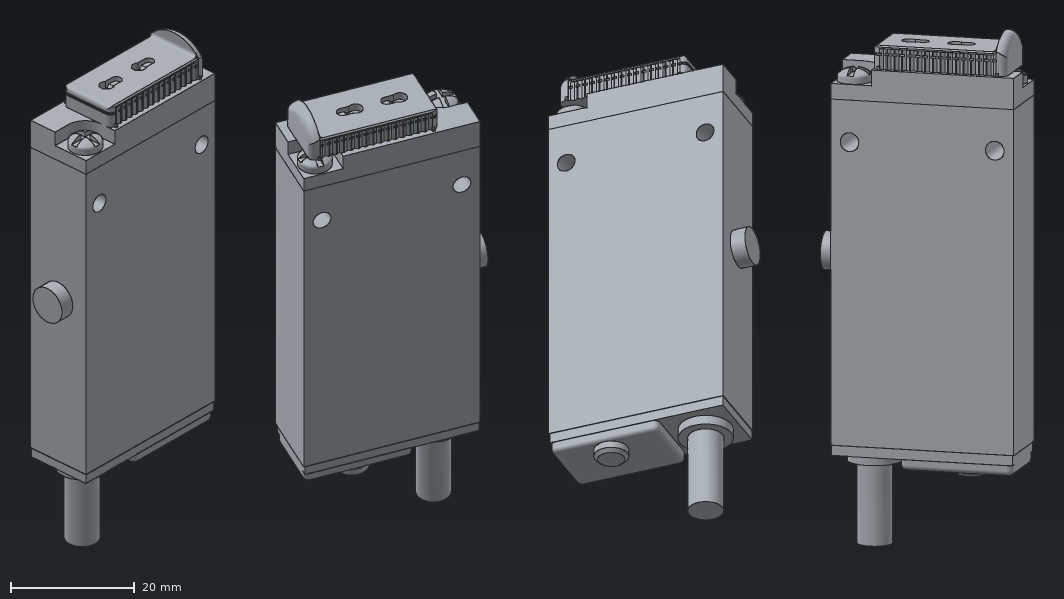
import cadquery as cq
import math


case_width = 12.2
total_depth = 33.3
case_depth = 30.7
front_y = -case_depth / 2
back_y = case_depth / 2

total_height = 85.8
case_bottom = 17.0
seam_level = 74.1
cap_top = 79.2
cover_top = 83.2

mount_y = 12.2
mount_level = 67.1
mount_radius = 1.55

button_level = 47.8
button_radius = 3.2
button_length = total_depth - case_depth

plate_width = 12.0
plate_thickness = 1.7
plate_back_inset = 0.3
plate_front_inset = 0.1
plate_bottom = case_bottom - plate_thickness

door_width = 11.85
door_length = 18.9
door_thickness = 1.8
door_corner_radius = 1.0
door_edge_radius = 0.8
door_back = back_y - plate_back_inset
door_bottom = plate_bottom - door_thickness

door_screw_x = -2.8
door_screw_y = 5.7
door_screw_radius = 2.8
door_screw_height = 1.8
door_screw_edge = 0.6

cable_y = -9.7
cable_radius = 2.9
collar_radius = 4.5
collar_thickness = 1.6

screw_x = 3.0
screw_y = -mount_y
recess_radius = 3.7
recess_floor = 76.65
head_radius = 2.8
head_rim_height = 1.2
head_height = 2.3
head_edge_radius = 0.4
cross_width = 1.0
cross_floor = 77.9

cover_width = 10.5
cover_corner_radius = 1.0
cover_edge_radius = 0.8
cover_side_chamfer = 0.3
cover_front = screw_y + recess_radius

grip_pitch = 1.3
grip_count = 15
grip_width = 1.1
grip_depth = 0.35
grip_top = cover_top - 0.5
level_groove_depth = 0.2
level_groove_width = 0.35
level_groove_centre = 81.7

tab_back = 13.9
tab_thickness = 1.7
tab_front = tab_back - tab_thickness
tab_width = 10.7
tab_corner_radius = 1.1
tab_shoulder = cover_top
tab_arch_round = 1.6

foot_width = 11.3
foot_length = 0.4
foot_height = 0.5

keyhole_pitch = 7.7
keyhole_radius = 1.2
keyhole_slot_radius = 0.95
keyhole_slot_reach = 2.3
keyhole_depth = 1.4
keyhole_slot_depth = 0.9
keyhole_ramp_start = 1.6
keyhole_ramp_end = 1.1


def box(width, y_min, y_max, z_min, z_max):
    """Block centred on x = 0 between the given Y and Z limits."""
    block = cq.Workplane("XY").box(width, y_max - y_min, z_max - z_min, centered=(True, False, False))
    return block.translate((0, y_min, z_min))


def disc(x, y, radius, z_min, z_max):
    """Upright cylinder."""
    return cq.Workplane("XY", origin=(x, y, z_min)).circle(radius).extrude(z_max - z_min)



def door():
    """Door with rounded corners and a rounded lower edge."""
    panel = box(door_width, door_back - door_length, door_back, door_bottom, plate_bottom)
    return panel.edges("|Z").fillet(door_corner_radius).faces("<Z").edges().fillet(door_edge_radius)


def door_screw():
    screw_bottom = door_bottom - door_screw_height
    screw = disc(door_screw_x, door_screw_y, door_screw_radius, screw_bottom, door_bottom)
    return screw.faces("<Z").edges().chamfer(door_screw_edge)


def make_housing():
    housing = box(case_width, front_y, back_y, case_bottom, seam_level)
    for hole_y in (-mount_y, mount_y):
        hole = cq.Workplane("YZ").center(hole_y, mount_level).circle(mount_radius)
        housing = housing.cut(hole.extrude(case_width, both=True))

    button = cq.Workplane("XZ", origin=(0, front_y, button_level)).circle(button_radius).extrude(button_length)
    plate = box(plate_width, front_y + plate_front_inset, back_y - plate_back_inset, plate_bottom, case_bottom)
    collar = disc(0, cable_y, collar_radius, plate_bottom - collar_thickness, plate_bottom)
    cable = disc(0, cable_y, cable_radius, 0, plate_bottom)
    return housing.union(button).union(plate).union(door()).union(door_screw()).union(collar).union(cable)



def cap_screw():
    """Domed head with a cross slot, in the front right corner."""
    rim_level = recess_floor + head_rim_height
    head_top = recess_floor + head_height
    dome_rise = head_height - head_rim_height
    dome_radius = (head_radius**2 + dome_rise**2) / (2 * dome_rise)
    mid_angle = math.asin(head_radius / dome_radius) / 2
    dome_middle = (
        dome_radius * math.sin(mid_angle),
        head_top - dome_radius * (1 - math.cos(mid_angle)),
    )
    head = (
        cq.Workplane("XZ")
        .moveTo(0, recess_floor)
        .lineTo(head_radius, recess_floor)
        .lineTo(head_radius, rim_level)
        .threePointArc(dome_middle, (0, head_top))
        .close()
        .revolve(360, (0, 0, 0), (0, 1, 0))
        .edges(cq.NearestToPointSelector((0, 0, rim_level)))
        .fillet(head_edge_radius)
    )
    slot = box(2 * head_radius, -cross_width / 2, cross_width / 2, cross_floor, head_top)
    head = head.cut(slot).cut(slot.rotate((0, 0, 0), (0, 0, 1), 90))
    return head.translate((screw_x, screw_y, 0))


def screw_recess():
    """Corner recess round the front right screw, open to the front and the side."""
    inner_x = screw_x - recess_radius
    rear_y = screw_y + recess_radius
    arc_offset = recess_radius * math.sqrt(0.5)
    return (
        cq.Workplane("XY", origin=(0, 0, recess_floor))
        .moveTo(inner_x, front_y)
        .lineTo(inner_x, screw_y)
        .threePointArc((screw_x - arc_offset, screw_y + arc_offset), (screw_x, rear_y))
        .lineTo(case_width / 2, rear_y)
        .lineTo(case_width / 2, front_y)
        .close()
        .extrude(cap_top - recess_floor)
    )


def arched_tab():
    """Upright tab with rounded back corners and an arched top that is rounded off at the back."""
    rise = total_height - tab_shoulder
    arch_radius = ((tab_width / 2) ** 2 + rise**2) / (2 * rise)
    arch_disc = (
        cq.Workplane("XZ", origin=(0, tab_back, total_height - arch_radius))
        .circle(arch_radius)
        .extrude(tab_thickness)
        .faces(">Y")
        .edges()
        .fillet(tab_arch_round)
    )
    block = box(tab_width, tab_front, tab_back, cap_top, total_height)
    block = block.edges("|Z and >Y").fillet(tab_corner_radius)
    return block.intersect(arch_disc)


def cover_block():
    """Plain cover with rounded front edges and a concave blend up to the tab."""
    cover = box(cover_width, cover_front, tab_front, cap_top, cover_top)
    chamfered = cover.faces(">Z").edges("|Y").chamfer(cover_side_chamfer)
    rounded_corners = cover.faces("<Y").edges("|Z").fillet(cover_corner_radius)
    rounded_edge = cover.faces("<Y").edges(">Z").fillet(cover_edge_radius)
    cover = chamfered.intersect(rounded_corners).intersect(rounded_edge)
    blend_mid = cover_edge_radius * (1 - math.sqrt(0.5))
    blend = (
        cq.Workplane("YZ")
        .moveTo(tab_front, cover_top)
        .lineTo(tab_front - cover_edge_radius, cover_top)
        .threePointArc(
            (tab_front - blend_mid, cover_top + blend_mid),
            (tab_front, cover_top + cover_edge_radius),
        )
        .close()
        .extrude(cover_width / 2 - cover_side_chamfer, both=True)
    )
    return cover.union(blend)


def grip_groove(groove_y):
    """Pair of upright V grooves, one in each side of the cover."""
    side_x = cover_width / 2
    right_groove = (
        cq.Workplane("XY", origin=(0, groove_y, cap_top))
        .moveTo(side_x, -grip_width / 2)
        .lineTo(side_x - grip_depth, 0)
        .lineTo(side_x, grip_width / 2)
        .close()
        .extrude(grip_top - cap_top)
    )
    return right_groove.union(right_groove.mirror("YZ"))


def level_groove():
    """Shallow level groove round the front and the two sides of the cover."""
    bottom = level_groove_centre - level_groove_width / 2
    top = level_groove_centre + level_groove_width / 2
    core_width = cover_width - 2 * level_groove_depth
    outside = box(case_width, front_y, tab_front, bottom, top)
    core = box(core_width, cover_front + level_groove_depth, tab_front, bottom, top)
    core = core.faces("<Y").edges("|Z").fillet(cover_corner_radius - level_groove_depth)
    return outside.cut(core)


def keyhole():
    """Keyhole pocket about the origin: a deep round end, then a ramp up to a shallower slot."""
    plan = (
        cq.Workplane("XY", origin=(0, 0, cover_top - keyhole_depth))
        .circle(keyhole_radius)
        .extrude(keyhole_depth)
        .union(disc(0, keyhole_slot_reach, keyhole_slot_radius, cover_top - keyhole_depth, cover_top))
        .union(box(2 * keyhole_slot_radius, 0, keyhole_slot_reach, cover_top - keyhole_depth, cover_top))
    )
    slot_end = keyhole_slot_reach + keyhole_slot_radius
    floor_step = (
        cq.Workplane("YZ")
        .moveTo(keyhole_ramp_end, cover_top - keyhole_depth)
        .lineTo(keyhole_ramp_start, cover_top - keyhole_slot_depth)
        .lineTo(slot_end, cover_top - keyhole_slot_depth)
        .lineTo(slot_end, cover_top - keyhole_depth)
        .close()
        .extrude(keyhole_radius, both=True)
    )
    return plan.cut(floor_step)


def make_cap():
    cap = box(case_width, front_y, back_y, seam_level, cap_top)
    corner_cut = screw_recess()
    screw = cap_screw()
    for turn in (0, 180):
        cap = cap.cut(corner_cut.rotate((0, 0, 0), (0, 0, 1), turn))

    cover = cover_block()
    first_grip_y = cover_front + cover_corner_radius + grip_pitch / 2
    for index in range(grip_count):
        cover = cover.cut(grip_groove(first_grip_y + index * grip_pitch))
    cover = cover.cut(level_groove())
    for keyhole_y in (-keyhole_pitch / 2, keyhole_pitch / 2):
        cover = cover.cut(keyhole().translate((0, keyhole_y, 0)))
    for foot_y in (cover_front + cover_edge_radius, tab_front):
        foot = box(foot_width, foot_y, foot_y + foot_length, cap_top, cap_top + foot_height)
        cover = cover.union(foot)

    cap = cap.union(cover).union(arched_tab())
    for turn in (0, 180):
        cap = cap.union(screw.rotate((0, 0, 0), (0, 0, 1), turn))
    return cap


housing = make_housing()
cap = make_cap()

result = cq.Compound.makeCompound([housing.val(), cap.val()])